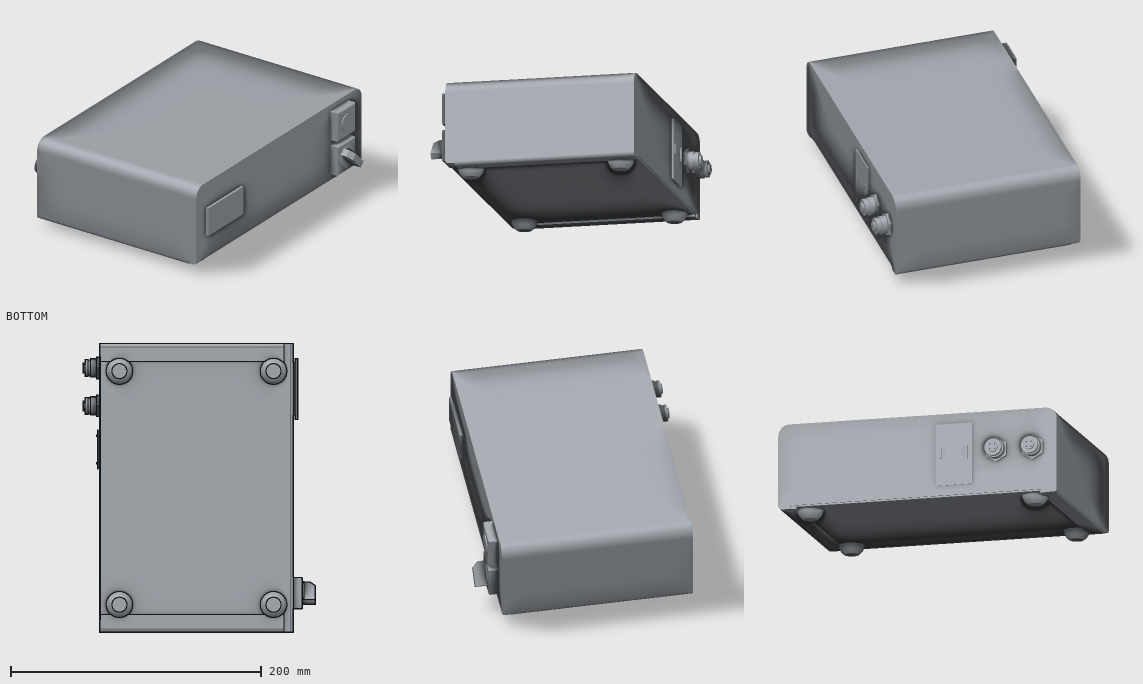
import cadquery as cq
import math

case_width = 154.5
case_length = 230.5
overall_height = 75.0
top_radius = 9.5
case_bottom = 7.4
case_bottom_corner = 2.3

flange_bottom = 5.8
flange_depth = 14.3
flange_length = 147.2
bend_radius = 2.8

relief_length = 209.7
relief_height = 1.2
relief_depth = 1.0

foot_diameter = 21.2
foot_flat_diameter = 12.0
foot_inset_x = 16.0
foot_inset_y = 22.1

plate_length = 30.9
plate_height = 50.2
plate_y = -30.6
plate_z = 41.5
plate_standoff = 1.04
plate_thickness = 0.5
plate_corner = 1.0
plate_neck_inset = 0.7
latch_z = 42.5
latch_width = 1.2
latch_rise = 0.8
latch_edge_gap = 4.0
long_latch_height = 11.5
short_latch_height = 8.3
grip_gap = 1.8
grip_width = 2.8
grip_depth = 0.2

connector_y = (-65.5, -95.6)
connector_z = 42.9
nut_flats = 17.3
nut_thickness = 2.3
connector_steps = ((14.7, 7.4), (13.0, 9.0), (13.5, 11.5), (8.0, 13.1))
contact_diameter = 1.2
contact_spacing = 4.0
contact_depth = 2.3

switch_y = 83.9
switch_size = 25.0
switch_thickness = 7.4
switch_edge_break = 0.7
button_z = 57.0
selector_z = 26.7
cap_thickness = 1.0
button_diameter = 15.2
selector_diameter = 18.5
handle_length = 19.8
handle_width = 5.8
handle_end = 17.5
handle_angle = -45
handle_chamfer = 4.4

label_y = -78.8
label_z = 41.7
label_length = 48.5
label_height = 24.5
label_standoff = 1.4
label_thickness = 2.0
label_neck_inset = 3.5


def block(x_start, x_end, y_center, z_center, length, height):
    """Box between two X positions, centred at the given Y and Z."""
    return (
        cq.Workplane("XY")
        .box(x_end - x_start, length, height)
        .translate(((x_start + x_end) / 2, y_center, z_center))
    )


def disc(x_start, x_end, y_center, z_center, diameter):
    """Cylinder along X between two X positions."""
    return (
        cq.Workplane("YZ", origin=(x_start, y_center, z_center))
        .circle(diameter / 2)
        .extrude(x_end - x_start)
    )


def make_case():
    height = overall_height - case_bottom
    body = block(0, case_width, 0, case_bottom + height / 2, case_length, height)
    body = body.edges("|X and >Z").fillet(top_radius)
    body = body.edges("|Y and >X and <Z").fillet(case_bottom_corner)

    bend = block(0, flange_length, 0, flange_bottom + bend_radius, case_length, 2 * bend_radius)
    rounded_bend = bend.edges("|X and <Z").fillet(bend_radius)
    body = body.cut(bend).union(rounded_bend)
    gap_height = case_bottom - flange_bottom
    gap = block(0, flange_length, 0, flange_bottom + gap_height / 2,
                case_length - 2 * flange_depth, gap_height)

    relief_top = case_bottom + relief_height
    relief = block(0, relief_depth, 0, (flange_bottom + relief_top) / 2,
                   relief_length, relief_top - flange_bottom)
    return body.cut(gap).cut(relief)


def make_feet():
    """Four feet shaped as slices of a ball, widest where they meet the case."""
    wide_radius = foot_diameter / 2
    flat_radius = foot_flat_diameter / 2
    ball_z = (wide_radius**2 - flat_radius**2 + case_bottom**2) / (2 * case_bottom)
    ball_radius = math.hypot(flat_radius, ball_z)
    slice_blank = cq.Workplane("XY").circle(ball_radius).extrude(case_bottom)
    foot = cq.Workplane("XY").sphere(ball_radius).translate((0, 0, ball_z)).intersect(slice_blank)
    feet = cq.Workplane("XY")
    for x in (foot_inset_x, case_width - foot_inset_x):
        for y_side in (1, -1):
            y = y_side * (case_length / 2 - foot_inset_y)
            feet = feet.union(foot.translate((x, y, 0)))
    return feet


def make_cover_plate():
    face_x = -plate_standoff - plate_thickness
    neck = block(-plate_standoff, 0, plate_y, plate_z,
                 plate_length - 2 * plate_neck_inset, plate_height - 2 * plate_neck_inset)
    plate = block(face_x, -plate_standoff, plate_y, plate_z, plate_length, plate_height)
    plate = plate.edges("|X").fillet(plate_corner)
    cover = plate.union(neck)
    for side, latch_height in ((1, short_latch_height), (-1, long_latch_height)):
        latch_offset = plate_length / 2 - latch_edge_gap - latch_width / 2
        latch_y = plate_y + side * latch_offset
        cover = cover.union(
            block(face_x - latch_rise, face_x, latch_y, latch_z, latch_width, latch_height)
        )
        chord_y = latch_y - side * grip_gap
        half_chord = short_latch_height / 2
        grip = (
            cq.Workplane("YZ", origin=(face_x, 0, 0))
            .moveTo(chord_y, latch_z - half_chord)
            .threePointArc((chord_y - side * grip_width, latch_z), (chord_y, latch_z + half_chord))
            .close()
            .extrude(grip_depth)
        )
        cover = cover.cut(grip)
    return cover


def make_connector(y):
    nut = (
        cq.Workplane("YZ")
        .polygon(6, nut_flats, circumscribed=True)
        .extrude(-nut_thickness)
        .translate((0, y, connector_z))
    )
    connector = nut
    start = nut_thickness
    for diameter, end in connector_steps:
        connector = connector.union(disc(-end, -start, y, connector_z, diameter))
        start = end
    contacts = (
        cq.Workplane("YZ", origin=(-start, y, connector_z))
        .rect(contact_spacing, contact_spacing, forConstruction=True)
        .vertices()
        .circle(contact_diameter / 2)
        .extrude(contact_depth)
    )
    return connector.cut(contacts)


def make_switch(z, cap_diameter):
    face_x = case_width + switch_thickness
    base = block(case_width, face_x, switch_y, z, switch_size, switch_size)
    base = base.faces(">X").chamfer(switch_edge_break)
    return base.union(disc(face_x, face_x + cap_thickness, switch_y, z, cap_diameter))


def make_handle():
    start = case_width + switch_thickness
    end = case_width + handle_end
    bar = block(start, end, 0, 0, handle_length, handle_width)
    bar = bar.faces("<Y").edges(">X").chamfer(handle_chamfer)
    return bar.rotate((0, 0, 0), (1, 0, 0), handle_angle).translate((0, switch_y, selector_z))


def make_label():
    back = case_width + label_standoff
    neck = block(case_width, back, label_y, label_z,
                 label_length - 2 * label_neck_inset, label_height - 2 * label_neck_inset)
    plate = block(back, back + label_thickness, label_y, label_z, label_length, label_height)
    return neck.union(plate)


result = make_case().union(make_feet()).union(make_cover_plate())
for connector_position in connector_y:
    result = result.union(make_connector(connector_position))
result = result.union(make_switch(button_z, button_diameter))
result = result.union(make_switch(selector_z, selector_diameter))
result = result.union(make_handle()).union(make_label())